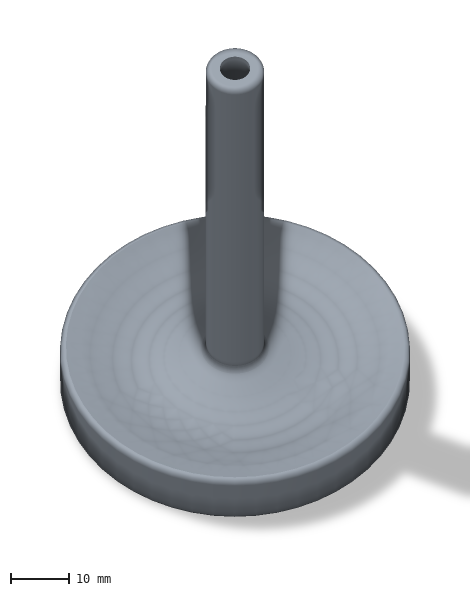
import cadquery as cq
import math

total_height = 85.0
base_radius = 60.0 / 2
base_height = 10.0
stem_radius = 10.0 / 2
edge_radius = 1.0

dish_depth = 3.6
dish_edge_slope = 24.0
root_height = 10.2
root_radius = 1.3
rim_radius = base_radius - edge_radius
dish_middle_radius = (stem_radius + rim_radius) / 2

hole_radius = 5.2 / 2
hole_depth = 17.0

corner_offset = edge_radius * (1 - math.sqrt(0.5))


def turned_body():
    """Base, dish and stem revolved about Z, with the stem root filleted."""
    rim_start = base_height - edge_radius
    stem_shoulder = total_height - edge_radius
    slope_run = math.cos(math.radians(dish_edge_slope))
    slope_rise = math.sin(math.radians(dish_edge_slope))
    profile = (
        cq.Workplane("XZ")
        .lineTo(rim_radius, 0)
        .threePointArc((base_radius - corner_offset, corner_offset), (base_radius, edge_radius))
        .lineTo(base_radius, rim_start)
        .threePointArc(
            (base_radius - corner_offset, base_height - corner_offset),
            (rim_radius, base_height),
        )
        .spline(
            [(dish_middle_radius, base_height - dish_depth), (stem_radius, root_height)],
            tangents=[(-slope_run, -slope_rise), (-slope_run, slope_rise)],
            includeCurrent=True,
        )
        .lineTo(stem_radius, stem_shoulder)
        .threePointArc(
            (stem_radius - corner_offset, total_height - corner_offset),
            (stem_radius - edge_radius, total_height),
        )
        .lineTo(0, total_height)
        .close()
    )
    body = profile.revolve(360, (0, 0, 0), (0, 1, 0))
    root_edge = cq.selectors.BoxSelector(
        (-2 * stem_radius, -2 * stem_radius, root_height - root_radius),
        (2 * stem_radius, 2 * stem_radius, root_height + root_radius),
        boundingbox=True,
    )
    return body.edges(root_edge).fillet(root_radius)


def blind_hole():
    """Cutting body for the flat-bottomed hole in the stem end."""
    return (
        cq.Workplane("XY", origin=(0, 0, total_height - hole_depth))
        .circle(hole_radius)
        .extrude(hole_depth)
    )


result = turned_body().cut(blind_hole())